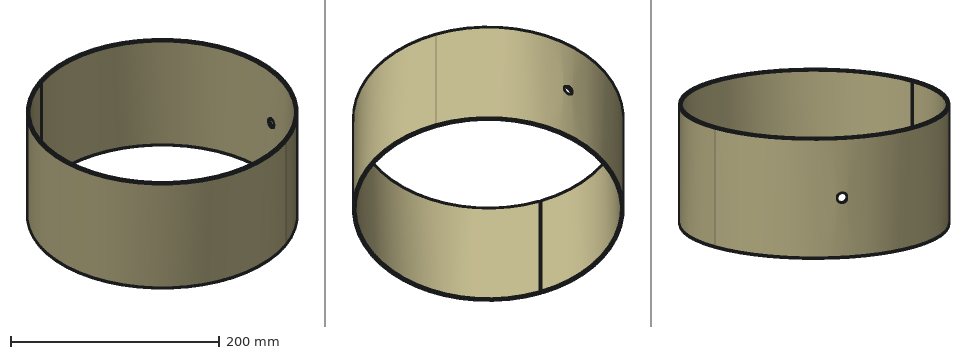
import cadquery as cq
import math

outer_diameter = 260.0
height = 120.0
wall = 2.5
edge_chamfer_height = 1.5
edge_chamfer_depth = 0.65

slit_width = 2.0

hole_diameter = 10.0
hole_angle = 59.0

outer_radius = outer_diameter / 2
inner_radius = outer_radius - wall
half_height = height / 2


def ring():
    """Revolve the wall section with all four corners chamfered."""
    outer_rim_radius = outer_radius - edge_chamfer_depth
    inner_rim_radius = inner_radius + edge_chamfer_depth
    chamfer_start = half_height - edge_chamfer_height
    section = [
        (inner_radius, -chamfer_start),
        (inner_rim_radius, -half_height),
        (outer_rim_radius, -half_height),
        (outer_radius, -chamfer_start),
        (outer_radius, chamfer_start),
        (outer_rim_radius, half_height),
        (inner_rim_radius, half_height),
        (inner_radius, chamfer_start),
    ]
    return cq.Workplane("XZ").polyline(section).close().revolve(360, (0, 0), (0, 1))


def slit():
    """Cutter reaching from the axis out through the -X wall."""
    blank = cq.Workplane("XY").box(outer_radius, slit_width, height, centered=(False, False, True))
    return blank.translate((-outer_radius, 0, 0))


def radial_hole():
    """Cutter reaching from the axis out through the wall at the hole angle."""
    angle = math.radians(hole_angle)
    direction = cq.Vector(math.cos(angle), math.sin(angle), 0)
    return cq.Solid.makeCylinder(hole_diameter / 2, outer_diameter, cq.Vector(0, 0, 0), direction)


result = ring().cut(slit()).cut(radial_hole())